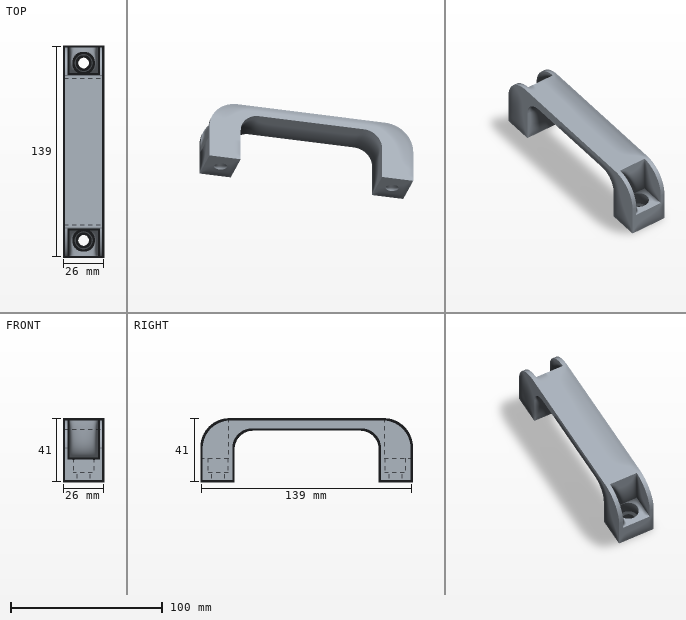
import cadquery as cq

length = 139.0
width = 26.0
height = 41.0

leg_depth = 21.3
grip_thickness = 7.0
outer_radius = 19.0
inner_radius = 12.5

pocket_width = 20.0
pocket_depth = 18.0
pocket_floor = 14.9

hole_inset = 11.0
hole_diameter = 8.6
counterbore_diameter = 13.5
counterbore_depth = 9.0


def rounded_top_block(y_length, z_height, radius):
    """Full-width block on Z = 0 with its two upper end edges rounded."""
    block = cq.Workplane("XY").box(width, y_length, z_height, centered=(True, True, False))
    return block.edges("|X and >Z").fillet(radius)


def pocket_and_hole(end):
    """Material removed from the leg at the +Y (end = 1) or -Y (end = -1) end."""
    pocket = (
        cq.Workplane("XY", origin=(0, end * (length - pocket_depth) / 2, pocket_floor))
        .rect(pocket_width, pocket_depth)
        .extrude(height - pocket_floor)
    )
    hole_y = end * (length / 2 - hole_inset)
    hole = cq.Workplane("XY", origin=(0, hole_y, 0)).circle(hole_diameter / 2).extrude(pocket_floor)
    counterbore = (
        cq.Workplane("XY", origin=(0, hole_y, pocket_floor - counterbore_depth))
        .circle(counterbore_diameter / 2)
        .extrude(counterbore_depth)
    )
    return pocket.union(hole).union(counterbore)


result = rounded_top_block(length, height, outer_radius)
result = result.cut(rounded_top_block(length - 2 * leg_depth, height - grip_thickness, inner_radius))

for end in (-1, 1):
    result = result.cut(pocket_and_hole(end))